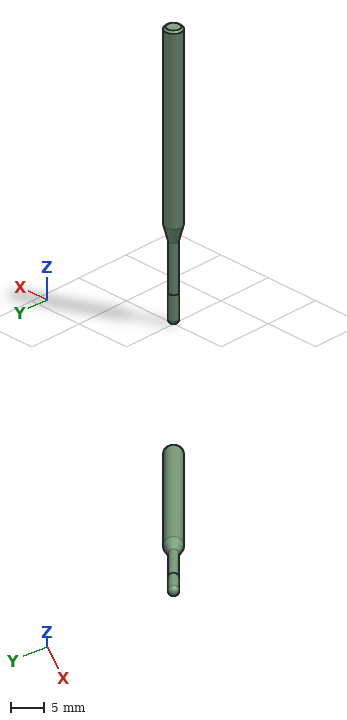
import cadquery as cq
import math

overall_length = 50.8
shank_diameter = 3.175
shank_chamfer = 0.38
cutter_diameter = 1.78
cutter_length = 5.33
neck_diameter = 1.68
shoulder_height = 0.25
neck_top = 14.2
taper_height = 2.85

shank_radius = shank_diameter / 2
neck_radius = neck_diameter / 2
ball_radius = cutter_diameter / 2


def make_holder():
    """Shank, taper, neck and the small shoulder cone, ending flat on the cutter."""
    profile = (
        cq.Workplane("XZ")
        .moveTo(0, cutter_length)
        .lineTo(ball_radius, cutter_length)
        .lineTo(neck_radius, cutter_length + shoulder_height)
        .lineTo(neck_radius, neck_top)
        .lineTo(shank_radius, neck_top + taper_height)
        .lineTo(shank_radius, overall_length - shank_chamfer)
        .lineTo(shank_radius - shank_chamfer, overall_length)
        .lineTo(0, overall_length)
        .close()
    )
    return profile.revolve(360, (0, 0, 0), (0, 1, 0))


def make_cutter():
    """Cylinder with a hemispherical tip."""
    arc_middle = ball_radius * math.sin(math.radians(45))
    profile = (
        cq.Workplane("XZ")
        .moveTo(0, 0)
        .threePointArc((arc_middle, ball_radius - arc_middle), (ball_radius, ball_radius))
        .lineTo(ball_radius, cutter_length)
        .lineTo(0, cutter_length)
        .close()
    )
    return profile.revolve(360, (0, 0, 0), (0, 1, 0))


holder = make_holder()
cutter = make_cutter()

result = cq.Compound.makeCompound([holder.val(), cutter.val()])